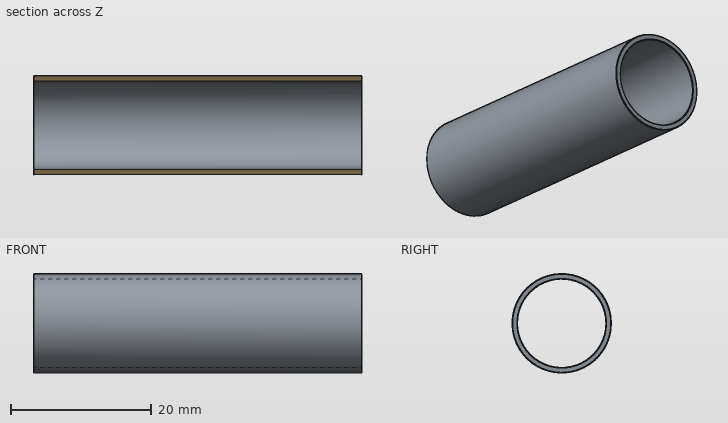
import cadquery as cq

length = 46.88
outer_diameter = 14.2
bore_diameter = 12.6
rim_chamfer = 0.1

tube = (
    cq.Workplane("YZ", origin=(-length / 2, 0, 0))
    .circle(outer_diameter / 2)
    .circle(bore_diameter / 2)
    .extrude(length)
)

result = tube.faces("<X or >X").edges().chamfer(rim_chamfer)